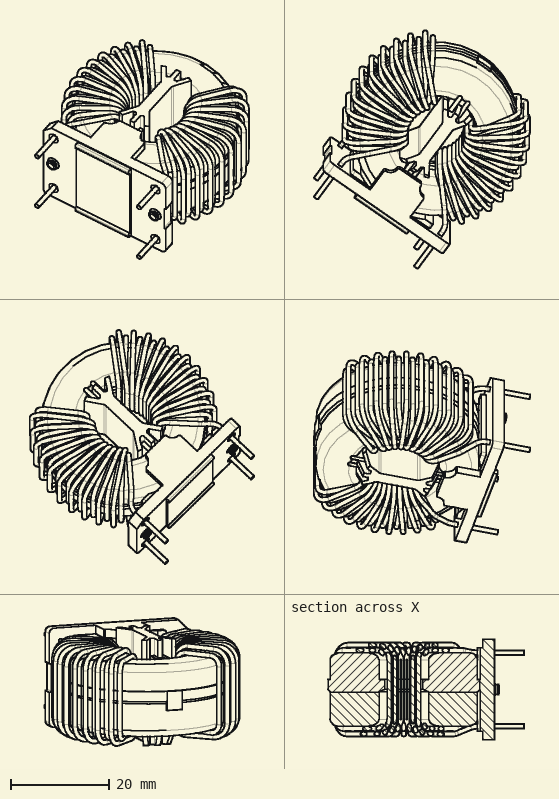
import cadquery as cq
import math

CASE_RADIUS = 33.2 / 2
BORE_RADIUS = 8.55
CASE_HALF_HEIGHT = 7.48
CASE_FILLET = 1.45
SEAM_Z = -0.5
BAND_RADIUS = 17.0
BAND_BORE_RADIUS = 7.95
BAND_TOP_Z = 2.08

TAB_REACH = 17.08
TAB_WIDTH = 3.32
TAB_BOTTOM_Z = -1.85

RIB_SPACING = 1.95
RIB_CENTRE_X = RIB_SPACING / 2
RIB_WIDTH = 0.9
RIB_INNER_Y = 6.27
RIB_OUTER_Y = 10.15
RIB_RISE = 0.12

SEPARATOR_TOP_Z = 11.15
SEPARATOR_BOTTOM_Z = -10.85
WEB_WIDTH = 2.6
WEB_HALF_WIDTH = WEB_WIDTH / 2
WEB_END_Y = 4.07
ARM_ANGLE = 56.5
ARM_LENGTH = 5.4
ARM_WIDTH = 1.0
SLOT_BOTTOM_Y = 5.85
WEB_FILLET = 0.85
SEPARATOR_RADIUS = 8.45
TAPER_TOP_Z = -7.7
TAPER_BOTTOM_RADIUS = 7.15

PLATE_HALF_WIDTH = 15.0
PLATE_HALF_HEIGHT = 10.25
PLATE_BACK_Y = -16.05
PLATE_FRONT_Y = -18.45
PLATE_CORNER = 1.05
KEY_CHAMFER = 2.0
EDGE_NOTCH_DEPTH = 0.37
EDGE_NOTCH_HEIGHT = 5.9
EDGE_NOTCH_FILLET = 0.25

SADDLE_HALF_WIDTH = 9.97
SADDLE_HALF_HEIGHT = 8.5
SADDLE_BACK_Y = -14.95
SADDLE_FILLET = 0.5

CLIP_HALF_WIDTH = 5.0
CLIP_THICKNESS = 1.75
CLIP_TIP_Y = -8.97
CLIP_CORNER = 0.25
CLIP_ARC_RADIUS = 1.8

PAD_HALF_WIDTH = 6.52
PAD_HALF_HEIGHT = 10.05
PAD_THICKNESS = 0.55
LIP_HEIGHT = 1.15
LIP_THICKNESS = 0.95
LIP_FILLET = 0.37

STUD_FLARE_DIAMETER = 2.75
STUD_NECK_DIAMETER = 2.0
STUD_HEAD_DIAMETER = 2.2
STUD_TOP_DIAMETER = 1.5
STUD_FLARE_LENGTH = 0.25
STUD_HEAD_START = 0.62
STUD_CHAMFER_START = 0.8
STUD_LENGTH = 0.95

WIRE_DIAMETER = 1.0
PIN_X = 12.5
PIN_Z = 7.48
PIN_TIP_Y = -24.47
HOLE_MOUTH_DIAMETER = 2.2

TURN_STEP = 9.5
LOWER_TURNS = 11
UPPER_TURNS = 10
LOWER_LAST_ANGLE = LOWER_TURNS * TURN_STEP / 2
UPPER_FIRST_ANGLE = UPPER_TURNS * TURN_STEP / 2
BEND_START_RADIUS = 15.55
BEND_END_RADIUS = 9.4
BEND_START_Z = 6.0
LOWER_BEND = 2.0
UPPER_BEND = 3.07
LEAD_KNEE_BEND = 2.5
LEAD_CORNER_BEND = 2.9
LEAD_CORNER_Y = -14.2
LOWER_LEAD_KNEE_RADIUS = 15.55
LOWER_LEAD_KNEE_ANGLE = -50.3
UPPER_LEAD_KNEE_RADIUS = 14.13


QUADRANTS = [(-1, -1), (-1, 1), (1, -1), (1, 1)]


def block(x0, x1, y0, y1, z0, z1):
    """Box between two opposite corners."""
    return cq.Workplane("XY").box(x1 - x0, y1 - y0, z1 - z0, centered=False).translate((x0, y0, z0))


def ring(outer_radius, inner_radius, z0, z1):
    """Upright ring around the Z axis."""
    return (
        cq.Workplane("XY").workplane(offset=z0).circle(outer_radius).circle(inner_radius).extrude(z1 - z0)
    )


def arm(sign_x, sign_y):
    """Diagonal arm from the end of the web toward the bore wall."""
    angle = math.radians(ARM_ANGLE)
    along = (math.cos(angle), math.sin(angle))
    inward = (-along[1], along[0])
    foot = (WEB_HALF_WIDTH, WEB_END_Y)
    outer_tip = (foot[0] + ARM_LENGTH * along[0], foot[1] + ARM_LENGTH * along[1])
    inner_tip = (outer_tip[0] + ARM_WIDTH * inward[0], outer_tip[1] + ARM_WIDTH * inward[1])
    inner_foot = (foot[0] + ARM_WIDTH * inward[0], foot[1] + ARM_WIDTH * inward[1])
    corners = [foot, outer_tip, inner_tip, inner_foot, (0, WEB_END_Y)]
    return (
        cq.Workplane("XY")
        .workplane(offset=SEPARATOR_BOTTOM_Z)
        .polyline([(sign_x * x, sign_y * y) for x, y in corners])
        .close()
        .extrude(SEPARATOR_TOP_Z - SEPARATOR_BOTTOM_Z)
    )


def slot(sign_x, sign_y):
    """Slot with a rounded bottom that takes one guide rib."""
    half_width = RIB_WIDTH / 2
    height = SEPARATOR_TOP_Z - SEPARATOR_BOTTOM_Z
    round_y = SLOT_BOTTOM_Y + half_width
    return (
        cq.Workplane("XY")
        .workplane(offset=SEPARATOR_BOTTOM_Z)
        .moveTo(sign_x * (RIB_CENTRE_X - half_width), sign_y * RIB_OUTER_Y)
        .lineTo(sign_x * (RIB_CENTRE_X - half_width), sign_y * round_y)
        .threePointArc(
            (sign_x * RIB_CENTRE_X, sign_y * SLOT_BOTTOM_Y),
            (sign_x * (RIB_CENTRE_X + half_width), sign_y * round_y),
        )
        .lineTo(sign_x * (RIB_CENTRE_X + half_width), sign_y * RIB_OUTER_Y)
        .close()
        .extrude(height)
    )


def make_separator():
    """Web across the bore, forked at both ends and tapered at the bottom."""
    z_range = (SEPARATOR_BOTTOM_Z, SEPARATOR_TOP_Z)
    body = block(-WEB_HALF_WIDTH, WEB_HALF_WIDTH, -WEB_END_Y, WEB_END_Y, *z_range)
    root_y = SLOT_BOTTOM_Y + RIB_WIDTH / 2
    prong_half_width = RIB_CENTRE_X - RIB_WIDTH / 2
    body = body.union(block(-WEB_HALF_WIDTH, WEB_HALF_WIDTH, -root_y, root_y, *z_range))
    body = body.union(
        block(-prong_half_width, prong_half_width, -SEPARATOR_RADIUS, SEPARATOR_RADIUS, *z_range)
    )
    for sx, sy in QUADRANTS:
        body = body.union(arm(sx, sy))
    for sx, sy in QUADRANTS:
        neck = (sx * WEB_HALF_WIDTH, sy * WEB_END_Y, (SEPARATOR_BOTTOM_Z + SEPARATOR_TOP_Z) / 2)
        nearest_to_neck = cq.selectors.NearestToPointSelector(neck)
        body = body.cut(slot(sx, sy))
        body = body.edges("|Z").edges(nearest_to_neck).fillet(WEB_FILLET)
    envelope = (
        cq.Workplane("XZ")
        .polyline([
            (0, SEPARATOR_BOTTOM_Z),
            (TAPER_BOTTOM_RADIUS, SEPARATOR_BOTTOM_Z),
            (SEPARATOR_RADIUS, TAPER_TOP_Z),
            (SEPARATOR_RADIUS, SEPARATOR_TOP_Z),
            (0, SEPARATOR_TOP_Z),
        ])
        .close()
        .revolve(360, (0, 0, 0), (0, 1, 0))
    )
    return body.intersect(envelope)


def ribs(sign_y, face_z):
    """Two upright guide ribs from the seam past one case face, with the bridge between them."""
    half_width = RIB_WIDTH / 2
    round_y = RIB_OUTER_Y - half_width
    rise = math.copysign(RIB_RISE, face_z)
    rib_z = sorted((SEAM_Z, face_z + rise))
    bridge_z = sorted((SEAM_Z, face_z))
    bridge_y = sorted((sign_y * SEPARATOR_RADIUS, sign_y * round_y))
    bar_y = sorted((sign_y * RIB_INNER_Y, sign_y * round_y))
    body = block(-RIB_CENTRE_X, RIB_CENTRE_X, *bridge_y, *bridge_z)
    for x in (-RIB_CENTRE_X, RIB_CENTRE_X):
        rounded_end = (
            cq.Workplane("XY", origin=(x, sign_y * round_y, rib_z[0]))
            .circle(half_width)
            .extrude(rib_z[1] - rib_z[0])
        )
        body = body.union(block(x - half_width, x + half_width, *bar_y, *rib_z)).union(rounded_end)
    return body


def make_cup(separator):
    """Lower part of the case."""
    body = ring(CASE_RADIUS, BORE_RADIUS, -CASE_HALF_HEIGHT, SEAM_Z).faces("<Z").edges().fillet(CASE_FILLET)
    for sign_y in (-1, 1):
        body = body.union(ribs(sign_y, -CASE_HALF_HEIGHT))
    return body.cut(separator)


def make_lid(separator):
    """Upper part of the case, with a chamfered band on both walls and a snap tab."""
    body = ring(CASE_RADIUS, BORE_RADIUS, SEAM_Z, CASE_HALF_HEIGHT).faces(">Z").edges().fillet(CASE_FILLET)
    band = (
        cq.Workplane("XZ")
        .polyline([
            (BORE_RADIUS, SEAM_Z),
            (CASE_RADIUS, SEAM_Z),
            (BAND_RADIUS, 0),
            (BAND_RADIUS, BAND_TOP_Z),
            (BAND_BORE_RADIUS, BAND_TOP_Z),
            (BAND_BORE_RADIUS, 0),
        ])
        .close()
        .revolve(360, (0, 0, 0), (0, 1, 0))
    )
    tab = ring(TAB_REACH, CASE_RADIUS, TAB_BOTTOM_Z, BAND_TOP_Z).intersect(
        block(-TAB_WIDTH / 2, TAB_WIDTH / 2, 0, TAB_REACH, TAB_BOTTOM_Z, BAND_TOP_Z)
    )
    body = body.union(band).union(tab)
    for sign_y in (-1, 1):
        body = body.union(ribs(sign_y, CASE_HALF_HEIGHT))
    return body.cut(separator)


def make_plate():
    """Mounting plate with one keyed corner and a shallow notch in the +X edge."""
    plate = block(
        -PLATE_HALF_WIDTH, PLATE_HALF_WIDTH, PLATE_FRONT_Y, PLATE_BACK_Y,
        -PLATE_HALF_HEIGHT, PLATE_HALF_HEIGHT,
    )
    plate = plate.edges("|Y and <X and >Z").chamfer(KEY_CHAMFER)
    plate = plate.edges("|Y and >X").fillet(PLATE_CORNER)
    plate = plate.edges("|Y and <Z and <X").fillet(PLATE_CORNER)
    notch = block(
        PLATE_HALF_WIDTH - EDGE_NOTCH_DEPTH, PLATE_HALF_WIDTH,
        PLATE_FRONT_Y, PLATE_BACK_Y, -EDGE_NOTCH_HEIGHT / 2, EDGE_NOTCH_HEIGHT / 2,
    ).edges("|Y and <X").fillet(EDGE_NOTCH_FILLET)
    return plate.cut(notch)


def clip(z0):
    """Shouldered clip that reaches over one face of the case."""
    shoulder_x = CLIP_HALF_WIDTH - CLIP_CORNER
    hollow_x = shoulder_x - CLIP_ARC_RADIUS
    tip_x = hollow_x - CLIP_CORNER
    hollow_y = CLIP_TIP_Y - CLIP_CORNER
    shoulder_y = hollow_y - CLIP_ARC_RADIUS
    side_y = shoulder_y - CLIP_CORNER
    reach = CLIP_ARC_RADIUS * math.sin(math.radians(45))
    arc_middle = (shoulder_x - reach, hollow_y - reach)
    return (
        cq.Workplane("XY")
        .workplane(offset=z0)
        .moveTo(-CLIP_HALF_WIDTH, PLATE_BACK_Y)
        .lineTo(-CLIP_HALF_WIDTH, side_y)
        .lineTo(-shoulder_x, shoulder_y)
        .threePointArc((-arc_middle[0], arc_middle[1]), (-hollow_x, hollow_y))
        .lineTo(-tip_x, CLIP_TIP_Y)
        .lineTo(tip_x, CLIP_TIP_Y)
        .lineTo(hollow_x, hollow_y)
        .threePointArc(arc_middle, (shoulder_x, shoulder_y))
        .lineTo(CLIP_HALF_WIDTH, side_y)
        .lineTo(CLIP_HALF_WIDTH, PLATE_BACK_Y)
        .close()
        .extrude(CLIP_THICKNESS)
    )


def make_pad():
    """Raised pad on the plate with a rounded lip along its top and bottom."""
    pad = block(
        -PAD_HALF_WIDTH, PAD_HALF_WIDTH, PLATE_FRONT_Y - PAD_THICKNESS, PLATE_FRONT_Y,
        -PAD_HALF_HEIGHT, PAD_HALF_HEIGHT,
    )
    for z0 in (-PAD_HALF_HEIGHT, PAD_HALF_HEIGHT - LIP_HEIGHT):
        lip = block(
            -PAD_HALF_WIDTH, PAD_HALF_WIDTH, PLATE_FRONT_Y - LIP_THICKNESS, PLATE_FRONT_Y, z0, z0 + LIP_HEIGHT
        )
        pad = pad.union(lip.faces("<Y").edges("|X").fillet(LIP_FILLET))
    return pad


def stud(x):
    """Headed stud on the front of the plate, turned about its Y axis."""
    return (
        cq.Workplane("XY")
        .polyline([
            (0, 0),
            (STUD_FLARE_DIAMETER / 2, 0),
            (STUD_NECK_DIAMETER / 2, -STUD_FLARE_LENGTH),
            (STUD_NECK_DIAMETER / 2, -STUD_HEAD_START),
            (STUD_HEAD_DIAMETER / 2, -STUD_HEAD_START),
            (STUD_HEAD_DIAMETER / 2, -STUD_CHAMFER_START),
            (STUD_TOP_DIAMETER / 2, -STUD_LENGTH),
            (0, -STUD_LENGTH),
        ])
        .close()
        .revolve(360, (0, 0, 0), (0, 1, 0))
        .translate((x, PLATE_FRONT_Y, 0))
    )


def pin_hole(x, z):
    """Hole for one pin, flared to a cone at the front of the plate."""
    hole_radius = WIRE_DIAMETER / 2
    mouth_radius = HOLE_MOUTH_DIAMETER / 2
    flare = mouth_radius - hole_radius
    thickness = PLATE_BACK_Y - PLATE_FRONT_Y
    return (
        cq.Workplane("XY")
        .polyline([
            (0, 0), (mouth_radius, 0), (hole_radius, flare), (hole_radius, thickness), (0, thickness)
        ])
        .close()
        .revolve(360, (0, 0, 0), (0, 1, 0))
        .translate((x, PLATE_FRONT_Y, z))
    )


def make_base():
    """Plate, saddle, clips, pad and studs, hollowed to seat the case."""
    saddle = block(
        -SADDLE_HALF_WIDTH, SADDLE_HALF_WIDTH, PLATE_BACK_Y, SADDLE_BACK_Y,
        -SADDLE_HALF_HEIGHT, SADDLE_HALF_HEIGHT,
    ).edges("|Y").fillet(SADDLE_FILLET)
    seat = (
        cq.Workplane("XY")
        .workplane(offset=-SADDLE_HALF_HEIGHT)
        .circle(BAND_RADIUS)
        .extrude(2 * SADDLE_HALF_HEIGHT)
    )
    body = make_plate().union(saddle).cut(seat)
    for z0 in (-PLATE_HALF_HEIGHT, PLATE_HALF_HEIGHT - CLIP_THICKNESS):
        body = body.union(clip(z0))
    body = body.union(make_pad())
    for x in (-PIN_X, PIN_X):
        body = body.union(stud(x))
        for z in (-PIN_Z, PIN_Z):
            body = body.cut(pin_hole(x, z))
    return body


def polar(radius, angle, z):
    """Point on the -X side of the toroid; the angle is in degrees from -X toward +Y."""
    a = math.radians(angle)
    return cq.Vector(-radius * math.cos(a), radius * math.sin(a), z)


def rounded_path(corners):
    """Wire through (point, bend radius) corners, with a tangent arc at every inner corner."""
    edges = []
    start = corners[0][0]
    for i in range(1, len(corners) - 1):
        corner, bend = corners[i]
        back = (corners[i - 1][0] - corner).normalized()
        ahead = (corners[i + 1][0] - corner).normalized()
        half_angle = back.getAngle(ahead) / 2
        tangent_length = bend / math.tan(half_angle)
        bisector = (back + ahead).normalized()
        arc_start = corner + back * tangent_length
        arc_end = corner + ahead * tangent_length
        arc_middle = corner + bisector * (bend / math.sin(half_angle) - bend)
        edges.append(cq.Edge.makeLine(start, arc_start))
        edges.append(cq.Edge.makeThreePointArc(arc_start, arc_middle, arc_end))
        start = arc_end
    edges.append(cq.Edge.makeLine(start, corners[-1][0]))
    return cq.Wire.assembleEdges(edges)


def winding_corners():
    """Corners of the -X wire: pin, lower layer toward +Y, upper layer back, pin."""
    lower_out = BEND_START_RADIUS + LOWER_BEND
    lower_in = BEND_END_RADIUS - LOWER_BEND
    lower_z = BEND_START_Z + LOWER_BEND
    upper_out = BEND_START_RADIUS + UPPER_BEND
    upper_in = BEND_END_RADIUS - UPPER_BEND
    upper_z = BEND_START_Z + UPPER_BEND

    first_angle = LOWER_LAST_ANGLE - LOWER_TURNS * TURN_STEP
    corners = [
        (cq.Vector(-PIN_X, PIN_TIP_Y, PIN_Z), 0),
        (cq.Vector(-PIN_X, LEAD_CORNER_Y, PIN_Z), LEAD_CORNER_BEND),
        (polar(LOWER_LEAD_KNEE_RADIUS, LOWER_LEAD_KNEE_ANGLE, lower_z), LEAD_KNEE_BEND),
        (polar(lower_in, first_angle, lower_z), LOWER_BEND),
    ]
    for turn in range(LOWER_TURNS):
        inner_angle = first_angle + turn * TURN_STEP
        outer_angle = inner_angle + TURN_STEP
        corners += [
            (polar(lower_in, inner_angle, -lower_z), LOWER_BEND),
            (polar(lower_out, outer_angle, -lower_z), LOWER_BEND),
            (polar(lower_out, outer_angle, lower_z), LOWER_BEND),
            (polar(lower_in, outer_angle, lower_z), LOWER_BEND),
        ]
    corners.append((polar(lower_in, LOWER_LAST_ANGLE, -upper_z), LOWER_BEND))
    for turn in range(UPPER_TURNS):
        outer_angle = UPPER_FIRST_ANGLE - turn * TURN_STEP
        inner_angle = outer_angle - TURN_STEP
        corners += [
            (polar(upper_out, outer_angle, -upper_z), UPPER_BEND),
            (polar(upper_out, outer_angle, upper_z), UPPER_BEND),
            (polar(upper_in, inner_angle, upper_z), UPPER_BEND),
            (polar(upper_in, inner_angle, -upper_z), UPPER_BEND),
        ]
    last_angle = UPPER_FIRST_ANGLE - UPPER_TURNS * TURN_STEP
    corners += [
        (polar(UPPER_LEAD_KNEE_RADIUS, last_angle, -upper_z), LEAD_KNEE_BEND),
        (cq.Vector(-PIN_X, LEAD_CORNER_Y, -PIN_Z), LEAD_CORNER_BEND),
        (cq.Vector(-PIN_X, PIN_TIP_Y, -PIN_Z), 0),
    ]
    return corners


def make_winding():
    """Round wire swept along the -X winding path."""
    path = rounded_path(winding_corners())
    profile = cq.Workplane("XZ", origin=(-PIN_X, PIN_TIP_Y, PIN_Z)).circle(WIRE_DIAMETER / 2)
    return profile.sweep(cq.Workplane(obj=path))


separator = make_separator()
cup = make_cup(separator)
lid = make_lid(separator)
base = make_base()
left_winding = make_winding()
right_winding = left_winding.mirror("YZ")

result = cq.Compound.makeCompound(
    [separator.val(), cup.val(), lid.val(), base.val(), left_winding.val(), right_winding.val()]
)